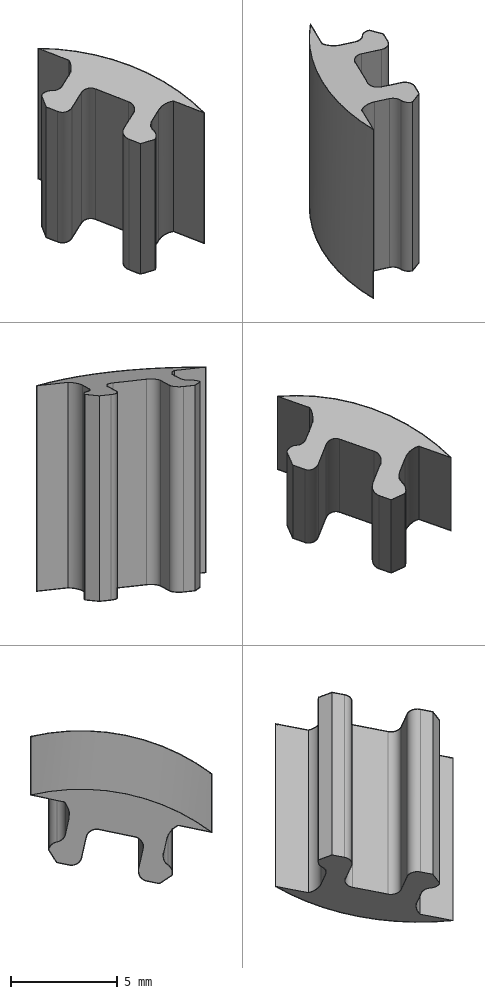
import cadquery as cq
import math

length = 10.0
width = 8.75
depth = 3.98

crown_rise = 1.0
neck_half_width = 2.36
neck_top_radius = 1.0
wing_root_half_width = 2.75
slot_half_width = 1.37
slot_depth = 2.0
corner_radius = 0.5
foot_half_width = 2.98
foot_lip_height = 0.53
foot_flat_half_width = 2.48

wing_y = depth - crown_rise

neck_arc_center_x = neck_half_width + neck_top_radius
wing_root_angle = math.acos((neck_arc_center_x - wing_root_half_width) / neck_top_radius)
neck_top_y = wing_y - neck_top_radius * math.sin(wing_root_angle)

foot_arc_center_x = foot_half_width - corner_radius
hollow_center_x = neck_half_width + corner_radius
s_curve_angle = math.acos((hollow_center_x - foot_arc_center_x) / (2 * corner_radius))
neck_bottom_y = foot_lip_height + 2 * corner_radius * math.sin(s_curve_angle)


def point_on_arc(center_x, center_y, radius, angle):
    return (center_x + radius * math.cos(angle), center_y + radius * math.sin(angle))


neck_arc_middle = point_on_arc(
    neck_arc_center_x, neck_top_y, neck_top_radius, math.pi - wing_root_angle / 2
)
hollow_middle = point_on_arc(
    hollow_center_x, neck_bottom_y, corner_radius, math.pi + s_curve_angle / 2
)
s_curve_joint = point_on_arc(foot_arc_center_x, foot_lip_height, corner_radius, s_curve_angle)
foot_arc_middle = point_on_arc(
    foot_arc_center_x, foot_lip_height, corner_radius, s_curve_angle / 2
)

crown_radius = ((width / 2) ** 2 + crown_rise**2) / (2 * crown_rise)
crown_half_angle = math.asin(width / 2 / crown_radius)
crown_middle = point_on_arc(
    0, depth - crown_radius, crown_radius, math.pi / 2 - crown_half_angle / 2
)

half = (
    cq.Workplane("XY")
    .moveTo(0, slot_depth)
    .lineTo(0, depth)
    .threePointArc(crown_middle, (width / 2, wing_y))
    .lineTo(wing_root_half_width, wing_y)
    .threePointArc(neck_arc_middle, (neck_half_width, neck_top_y))
    .lineTo(neck_half_width, neck_bottom_y)
    .threePointArc(hollow_middle, s_curve_joint)
    .threePointArc(foot_arc_middle, (foot_half_width, foot_lip_height))
    .lineTo(foot_flat_half_width, 0)
    .lineTo(slot_half_width, 0)
    .lineTo(slot_half_width, slot_depth)
    .close()
    .extrude(length)
)

selection_margin = 0.1
slot_edges = cq.selectors.BoxSelector(
    (slot_half_width - selection_margin, -selection_margin, 0),
    (slot_half_width + selection_margin, slot_depth + selection_margin, length),
)
half = half.edges("|Z").edges(slot_edges).fillet(corner_radius)

result = half.union(half.mirror("YZ")).clean()